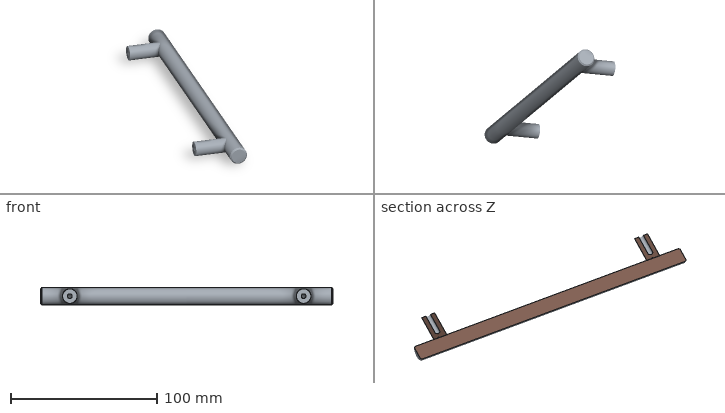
import cadquery as cq
import math

bar_length = 200.0
bar_diameter = 12.0
bar_radius = bar_diameter / 2
end_chamfer = 1.0

post_spacing = 160.0
post_diameter = 10.0
total_depth = 32.0
post_foot_y = bar_radius - total_depth

screw_hole_diameter = 3.2
screw_hole_radius = screw_hole_diameter / 2
screw_hole_depth = 16.0
drill_point_angle = 118.0
drill_point_height = screw_hole_radius / math.tan(math.radians(drill_point_angle / 2))


def make_rod():
    """Plain round rod of the full bar length."""
    return cq.Workplane("YZ").circle(bar_radius).extrude(bar_length / 2, both=True)


def make_bar():
    """Rod with chamfered end faces."""
    return make_rod().faces("<X or >X").chamfer(end_chamfer)


def make_screw_hole(x):
    """Cutter for the screw hole: a cylinder along +Y with a conical end."""
    shoulder_y = post_foot_y + screw_hole_depth
    half_profile = (
        cq.Workplane("XY", origin=(x, 0, 0))
        .moveTo(0, post_foot_y)
        .lineTo(screw_hole_radius, post_foot_y)
        .lineTo(screw_hole_radius, shoulder_y)
        .lineTo(0, shoulder_y + drill_point_height)
        .close()
    )
    return half_profile.revolve(360, (0, 0, 0), (0, 1, 0))


def make_post(x):
    """Post at position x, with a saddle top that fits the bar and a screw hole."""
    foot_plane = cq.Plane(origin=(x, post_foot_y, 0), xDir=(1, 0, 0), normal=(0, 1, 0))
    post = cq.Workplane(foot_plane).circle(post_diameter / 2).extrude(-post_foot_y)
    return post.cut(make_rod()).cut(make_screw_hole(x))


bar = make_bar()
posts = [make_post(side * post_spacing / 2) for side in (-1, 1)]

result = cq.Compound.makeCompound([bar.val(), *[post.val() for post in posts]])